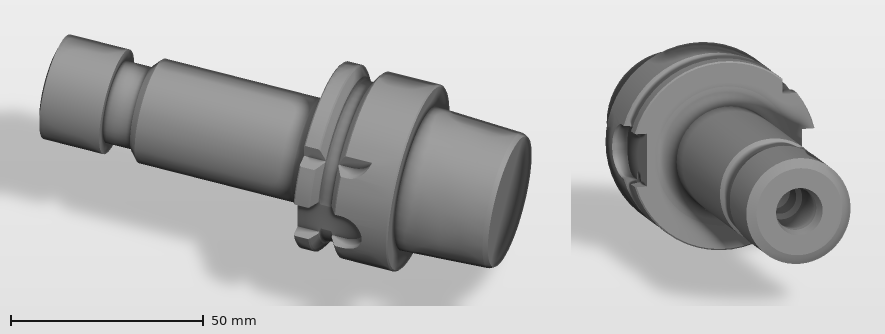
import cadquery as cq
import math

length = 125.0

nut_radius = 14.0
nut_face_radius = 11.5
nut_chamfer_length = 0.9
nut_end = 17.2
neck_radius = 11.0

shank_shoulder = 25.0
shoulder_step_radius = 11.9
shank_start = 26.6
shank_edge = 0.4
shank_radius = 14.0
relief_radius = 13.9
relief_start = 69.8
relief_taper_length = 0.4

flange_start = 74.0
flange_end = 100.0
flange_radius = 25.0
flange_chamfer = 0.4
root_fillet = 3.2
raised_ring_radius = 18.4
raised_ring_height = 0.1

groove_center = 81.8
groove_floor_radius = 21.4
groove_fillet = 0.5
groove_floor_width = 3.6
groove_wall_radius = 22.4
groove_flank_length = 1.5
groove_edge = 0.4

taper_start_radius = 19.2
taper_end_radius = 18.1
taper_chamfer_length = 1.2
taper_chamfer_depth = 0.6

mouth_radius = 6.2
mouth_depth = 3.5
bore_radius = 5.5
bore_depth = 17.5
pilot_radius = 4.2
pilot_depth = 25.0
drill_half_angle = math.radians(59)
countersink_half_angle = math.radians(45)

slot_end = 93.0
slot_floor = 20.9
front_slot_width = 12.0
rear_slot_width = 14.0
slot_end_radius = front_slot_width / 2
notch_floor = 15.6


def make_body():
    """Turned outside of the holder."""
    groove_left = groove_center - groove_floor_width / 2
    groove_right = groove_center + groove_floor_width / 2
    flank_left = groove_left - groove_flank_length
    flank_right = groove_right + groove_flank_length
    flank_radius = flange_radius - groove_edge
    root_x = flange_start - raised_ring_height
    root_radius = relief_radius + root_fillet
    root_mid_x = root_x - root_fillet * (1 - math.sin(math.pi / 4))
    root_mid_radius = root_radius - root_fillet * math.sin(math.pi / 4)
    profile = (
        cq.Workplane("XY")
        .moveTo(0, 0)
        .lineTo(0, nut_face_radius)
        .lineTo(nut_chamfer_length, nut_radius)
        .lineTo(nut_end, nut_radius)
        .lineTo(nut_end, neck_radius)
        .lineTo(shank_shoulder, neck_radius)
        .lineTo(shank_shoulder, shoulder_step_radius)
        .lineTo(shank_start, shank_radius - shank_edge)
        .lineTo(shank_start + shank_edge, shank_radius)
        .lineTo(relief_start, shank_radius)
        .lineTo(relief_start + relief_taper_length, relief_radius)
        .lineTo(root_x - root_fillet, relief_radius)
        .threePointArc((root_mid_x, root_mid_radius), (root_x, root_radius))
        .lineTo(flange_start, raised_ring_radius)
        .lineTo(flange_start, flange_radius - flange_chamfer)
        .lineTo(flange_start + flange_chamfer, flange_radius)
        .lineTo(flank_left - groove_edge, flange_radius)
        .lineTo(flank_left, flank_radius)
        .lineTo(groove_left, groove_wall_radius)
        .lineTo(groove_left, groove_floor_radius + groove_fillet)
        .tangentArcPoint((groove_left + groove_fillet, groove_floor_radius), relative=False)
        .lineTo(groove_right - groove_fillet, groove_floor_radius)
        .tangentArcPoint((groove_right, groove_floor_radius + groove_fillet), relative=False)
        .lineTo(groove_right, groove_wall_radius)
        .lineTo(flank_right, flank_radius)
        .lineTo(flank_right + groove_edge, flange_radius)
        .lineTo(flange_end - flange_chamfer, flange_radius)
        .lineTo(flange_end, flange_radius - flange_chamfer)
        .lineTo(flange_end, taper_start_radius)
        .lineTo(length - taper_chamfer_length, taper_end_radius)
        .lineTo(length, taper_end_radius - taper_chamfer_depth)
        .lineTo(length, 0)
        .close()
    )
    return profile.revolve(360, (0, 0, 0), (1, 0, 0))


def make_bore():
    """Stepped blind bore with a tapered mouth and a drill point."""
    countersink_length = (bore_radius - pilot_radius) / math.tan(countersink_half_angle)
    point_length = pilot_radius / math.tan(drill_half_angle)
    profile = (
        cq.Workplane("XY")
        .moveTo(0, 0)
        .lineTo(0, mouth_radius)
        .lineTo(mouth_depth, bore_radius)
        .lineTo(bore_depth, bore_radius)
        .lineTo(bore_depth + countersink_length, pilot_radius)
        .lineTo(pilot_depth, pilot_radius)
        .lineTo(pilot_depth + point_length, 0)
        .close()
    )
    return profile.revolve(360, (0, 0, 0), (1, 0, 0))


def make_front_slot():
    """Driver slot on the -Y side, open toward the nose and with a full round end."""
    slot_length = slot_end - flange_start + front_slot_width
    return (
        cq.Workplane("XZ", origin=(slot_end - slot_length / 2, -slot_floor, 0))
        .slot2D(slot_length, front_slot_width)
        .extrude(flange_radius - slot_floor)
    )


def make_rear_slot():
    """Wider driver slot on the +Y side, open toward the nose and with two rounded corners."""
    slot_length = slot_end - flange_start + raised_ring_height
    depth = flange_radius - slot_floor
    return (
        cq.Workplane("XY")
        .box(slot_length, depth, rear_slot_width)
        .edges(">X and |Y")
        .fillet(slot_end_radius)
        .translate((slot_end - slot_length / 2, slot_floor + depth / 2, 0))
    )


def make_index_notch():
    """Square notch in the -Y +Z edge of the flange, with a run-out arc in its floor."""
    notch_length = slot_end - flange_start + raised_ring_height
    size = flange_radius - notch_floor
    center = notch_floor + size / 2
    return (
        cq.Workplane("XY")
        .box(notch_length, size, size)
        .edges(">X and <Z")
        .fillet(slot_end_radius)
        .translate((slot_end - notch_length / 2, -center, center))
    )


result = (
    make_body()
    .cut(make_bore())
    .cut(make_front_slot())
    .cut(make_rear_slot())
    .cut(make_index_notch())
)